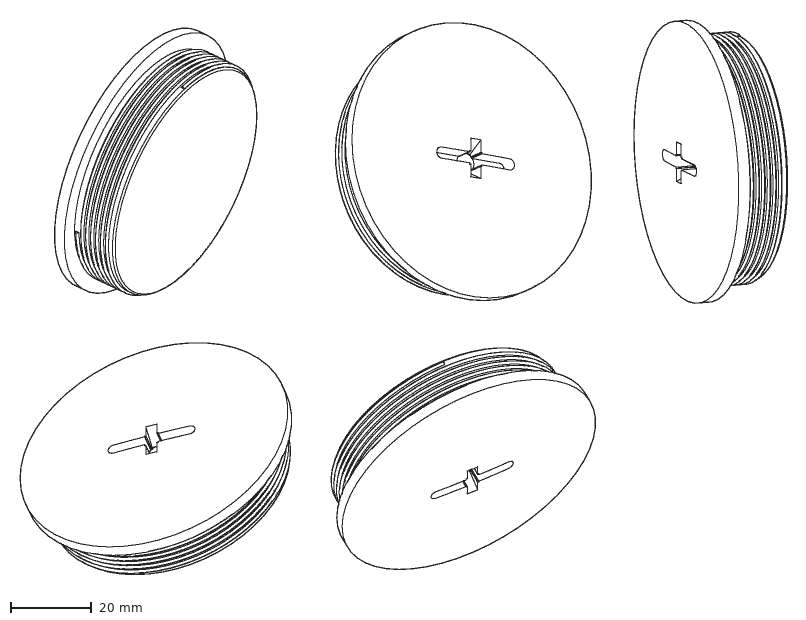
import cadquery as cq

flange_radius = 35.0
flange_thickness = 3.0
dome_height = 2.0

spigot_radius = 61.25 / 2
back_x = 15.0
end_chamfer = 0.5

thread_pitch = 1.5
thread_turns = 6.75
thread_start_x = flange_thickness + 0.85
ridge_height = 0.7
ridge_half_width = 0.5
root_overlap = 0.1

slot_width = 2.9
long_slot_length = 22.7
short_slot_length = 10.0
recess_depth = 5.0
short_slot_floor_length = 5.0
center_square_side = 3.5
cone_radius = 5.0 / 2
cone_depth = 1.3
floor_x = recess_depth - dome_height


def make_body():
    """Revolve the dome, flange and chamfered spigot about the X axis."""
    sphere_radius = (flange_radius**2 + dome_height**2) / (2 * dome_height)
    mid_radius = flange_radius / 2
    mid_x = sphere_radius - dome_height - (sphere_radius**2 - mid_radius**2) ** 0.5
    return (
        cq.Workplane("XY")
        .moveTo(-dome_height, 0)
        .threePointArc((mid_x, mid_radius), (0, flange_radius))
        .lineTo(flange_thickness, flange_radius)
        .lineTo(flange_thickness, spigot_radius)
        .lineTo(back_x - end_chamfer, spigot_radius)
        .lineTo(back_x, spigot_radius - end_chamfer)
        .lineTo(back_x, 0)
        .close()
        .revolve(360, (0, 0, 0), (1, 0, 0))
    )


def make_thread():
    """Sweep the ridge along a helix that starts at -Y and first turns toward -Z."""
    helix = cq.Wire.makeHelix(thread_pitch, thread_pitch * thread_turns, spigot_radius)
    root_half_width = ridge_half_width * (1 + root_overlap / ridge_height)
    ridge = (
        cq.Workplane("XZ")
        .moveTo(spigot_radius - root_overlap, -root_half_width)
        .lineTo(spigot_radius + ridge_height, 0)
        .lineTo(spigot_radius - root_overlap, root_half_width)
        .close()
        .sweep(cq.Workplane(helix), isFrenet=True)
    )
    thread_frame = cq.Plane(origin=(thread_start_x, 0, 0), xDir=(0, -1, 0), normal=(1, 0, 0))
    return ridge.val().moved(cq.Location(thread_frame))


def make_recess():
    """Build the long slot, the short slot with sloping ends, the center square and the cone."""
    long_slot = (
        cq.Workplane("YZ", origin=(-dome_height, 0, 0))
        .slot2D(long_slot_length, slot_width)
        .extrude(recess_depth)
    )
    half_length = short_slot_length / 2
    half_floor_length = short_slot_floor_length / 2
    short_slot = (
        cq.Workplane("XZ")
        .moveTo(-dome_height, -half_length)
        .lineTo(-dome_height, half_length)
        .lineTo(floor_x, half_floor_length)
        .lineTo(floor_x, -half_floor_length)
        .close()
        .extrude(slot_width / 2, both=True)
    )
    center_square = (
        cq.Workplane("YZ", origin=(-dome_height, 0, 0))
        .rect(center_square_side, center_square_side)
        .extrude(recess_depth)
    )
    cone = (
        cq.Workplane("XY")
        .moveTo(floor_x, 0)
        .lineTo(floor_x, cone_radius)
        .lineTo(floor_x + cone_depth, 0)
        .close()
        .revolve(360, (0, 0, 0), (1, 0, 0))
    )
    return long_slot.union(short_slot).union(center_square).union(cone)


result = make_body().cut(make_recess()).union(make_thread())